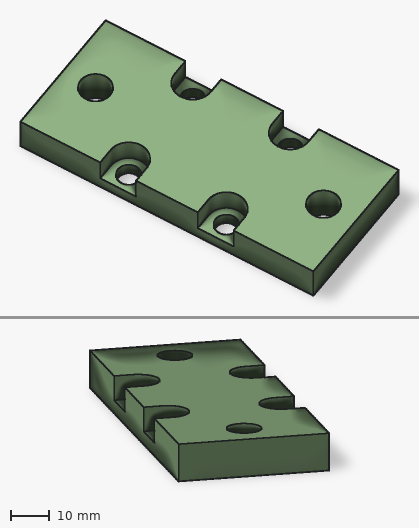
import cadquery as cq

length = 90.0
width = 40.0
thickness = 10.0

end_hole_diameter = 9.0
end_hole_spacing = 70.0

screw_spacing = 30.0
screw_hole_diameter = 6.6
recess_width = 11.0
recess_depth = 6.5

screw_offset = screw_spacing / 2
recess_floor = thickness - recess_depth


def edge_recess(x, side):
    """Recess cutter at x, open to the +Y (side = 1) or -Y (side = -1) edge."""
    y = side * screw_offset
    edge_y = side * width / 2
    floor = cq.Workplane("XY").workplane(offset=recess_floor)
    round_end = floor.center(x, y).circle(recess_width / 2).extrude(recess_depth)
    opening = (
        floor.center(x, (y + edge_y) / 2)
        .rect(recess_width, abs(edge_y - y))
        .extrude(recess_depth)
    )
    return round_end.union(opening)


def through_holes(points, diameter):
    """Vertical cylinders through the full plate thickness."""
    return cq.Workplane("XY").pushPoints(points).circle(diameter / 2).extrude(thickness)


result = cq.Workplane("XY").box(length, width, thickness, centered=(True, True, False))

end_points = [(-end_hole_spacing / 2, 0), (end_hole_spacing / 2, 0)]
result = result.cut(through_holes(end_points, end_hole_diameter))

for x in (-screw_offset, screw_offset):
    for side in (-1, 1):
        result = result.cut(edge_recess(x, side))
        result = result.cut(through_holes([(x, side * screw_offset)], screw_hole_diameter))